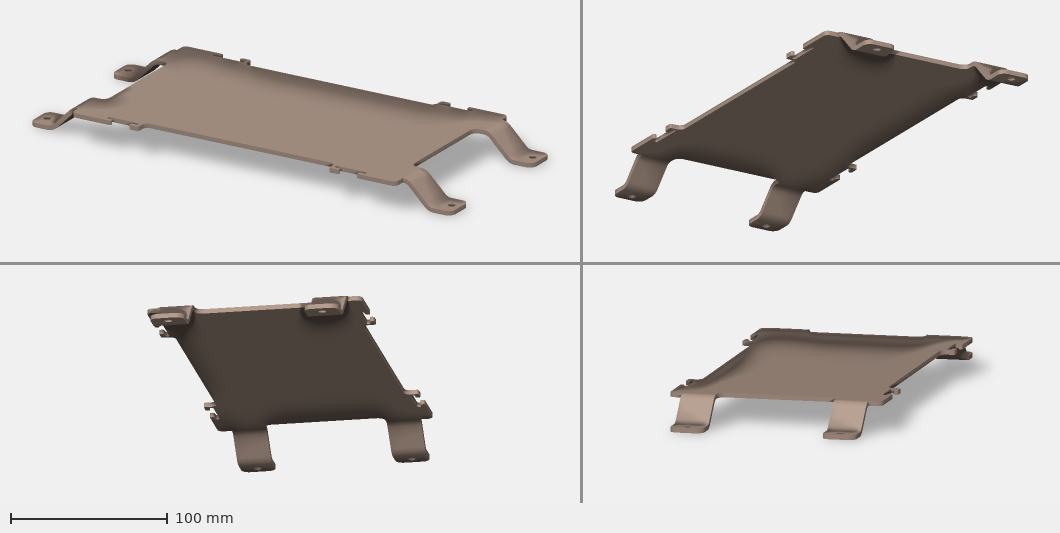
import cadquery as cq
import math

overall_length = 313.52
overall_width = 139.4
overall_height = 19.19
thickness = 3.0

plate_length = 241.4
waist_length = 226.6
body_width = 122.0
corner_radius = 3.5
long_edge_fillet = 4.0
short_edge_fillet = 5.0

hook_outer_x = 70.8
slot_inner_x = 73.0
mouth_inner_x = 78.0
mouth_outer_x = 91.4
slot_outer_x = 96.3
slot_floor_y = 64.0
lip_thickness = 3.0
slot_end_radius = 1.3
lip_radius = 1.4
lip_corner_radius = 1.0
hook_corner_radius = 1.2

leg_width = 22.0
leg_center_y = (body_width - leg_width) / 2
foot_corner_radius = 5.0
bend_angle = math.radians(45)
bend_inner_radius = 6.5
bend_outer_radius = bend_inner_radius + thickness
hole_diameter = 5.0
hole_edge_distance = 6.3

half_length = overall_length / 2
half_width = overall_width / 2
plate_top = overall_height
plate_bottom = plate_top - thickness


def mirrored_copies(shape):
    """Join a shape in the +X +Y quarter with its copies in the other three."""
    half = shape.union(shape.mirror("YZ"))
    return half.union(half.mirror("XZ"))


def box_between(x_min, x_max, y_min, y_max):
    """A block as thick as the plate, placed by its edges in X and Y."""
    return (
        cq.Workplane("XY", origin=(0, 0, plate_bottom))
        .center((x_min + x_max) / 2, (y_min + y_max) / 2)
        .rect(x_max - x_min, y_max - y_min)
        .extrude(thickness)
    )


def fillet_upright_edge(body, x, y, radius):
    """Round the upright plate edge that passes through (x, y)."""
    near = cq.selectors.NearestToPointSelector((x, y, plate_bottom + thickness / 2))
    return body.edges("|Z").edges(near).fillet(radius)


def make_plate_quarter():
    """One quarter of the plate with its end tab and hooked slot."""
    half_plate = plate_length / 2
    half_waist = waist_length / 2
    half_body = body_width / 2
    tab_inner_y = half_body - leg_width
    lip_y = half_width - lip_thickness

    quarter = box_between(0, half_waist, 0, half_body)
    quarter = quarter.union(box_between(hook_outer_x, half_plate, tab_inner_y, half_width))
    quarter = quarter.cut(box_between(slot_inner_x, slot_outer_x, slot_floor_y, lip_y))
    quarter = quarter.cut(box_between(mouth_inner_x, mouth_outer_x, slot_floor_y, half_width))

    rounded_edges = [
        (half_plate, half_width, corner_radius),
        (half_waist, tab_inner_y, short_edge_fillet),
        (hook_outer_x, half_body, long_edge_fillet),
        (hook_outer_x, half_width, hook_corner_radius),
        (mouth_inner_x, half_width, lip_radius),
        (mouth_inner_x, lip_y, lip_radius),
        (mouth_outer_x, half_width, lip_corner_radius),
        (mouth_outer_x, lip_y, lip_radius),
        (slot_inner_x, lip_y, slot_end_radius),
        (slot_outer_x, lip_y, slot_end_radius),
        (slot_outer_x, slot_floor_y, slot_end_radius),
    ]
    for x, y, radius in rounded_edges:
        quarter = fillet_upright_edge(quarter, x, y, radius)
    return quarter


def make_leg():
    """Cranked leg: foot, bend, slope, bend, then a flat root inside the plate tab."""
    sine = math.sin(bend_angle)
    cosine = math.cos(bend_angle)
    bend_radius = bend_inner_radius + thickness / 2
    slope_rise = plate_bottom - 2 * bend_radius * (1 - cosine)
    slope_run = slope_rise / math.tan(bend_angle)

    plate_end_x = plate_length / 2
    foot_end_x = plate_end_x + 2 * bend_radius * sine + slope_run
    lower_center_z = thickness + bend_inner_radius
    upper_center_z = plate_bottom - bend_inner_radius

    def lower_point(radius, angle):
        return (foot_end_x - radius * math.sin(angle), lower_center_z - radius * math.cos(angle))

    def upper_point(radius, angle):
        return (plate_end_x + radius * math.sin(angle), upper_center_z + radius * math.cos(angle))

    half_bend = bend_angle / 2
    root_x = waist_length / 2
    leg = (
        cq.Workplane("XZ", origin=(0, leg_center_y, 0))
        .moveTo(half_length, 0)
        .lineTo(half_length, thickness)
        .lineTo(foot_end_x, thickness)
        .threePointArc(lower_point(bend_inner_radius, half_bend), lower_point(bend_inner_radius, bend_angle))
        .lineTo(*upper_point(bend_outer_radius, bend_angle))
        .threePointArc(upper_point(bend_outer_radius, half_bend), upper_point(bend_outer_radius, 0))
        .lineTo(root_x, plate_top)
        .lineTo(root_x, plate_bottom)
        .lineTo(plate_end_x, plate_bottom)
        .threePointArc(upper_point(bend_inner_radius, half_bend), upper_point(bend_inner_radius, bend_angle))
        .lineTo(*lower_point(bend_outer_radius, bend_angle))
        .threePointArc(lower_point(bend_outer_radius, half_bend), lower_point(bend_outer_radius, 0))
        .close()
        .extrude(leg_width / 2, both=True)
    )
    leg = leg.edges("|Z and >X").fillet(foot_corner_radius)

    hole = (
        cq.Workplane("XY")
        .center(half_length - hole_edge_distance, leg_center_y)
        .circle(hole_diameter / 2)
        .extrude(thickness)
    )
    return leg.cut(hole)


quarter_part = make_plate_quarter().union(make_leg())
result = mirrored_copies(quarter_part)